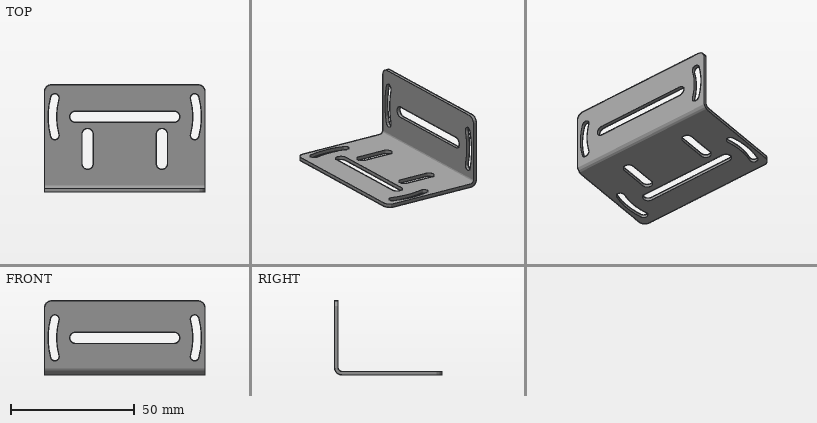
import cadquery as cq
import math

width = 65.0
depth = 43.5
height = 30.0
thickness = 1.5
inner_bend_radius = 1.5
outer_bend_radius = inner_bend_radius + thickness
corner_radius = 3.0

slot_width = 4.4
long_slot_spacing = 40.0
arc_slot_width = 3.4
arc_slot_radius = 29.25
arc_slot_half_angle = 15.0
wall_slots_z = height / 2
base_slots_setback = 13.0
base_slots_y = depth - base_slots_setback

cross_slot_x = 15.0
cross_slot_y = 17.5
cross_slot_spacing = 12.0


def bent_sheet():
    """L-shaped sheet, a rounded outer block with a rounded inner block removed."""
    outside = (
        cq.Workplane("YZ")
        .rect(depth, height, centered=False)
        .extrude(width / 2, both=True)
        .edges("|X and <Y and <Z")
        .fillet(outer_bend_radius)
    )
    inside = (
        cq.Workplane("YZ")
        .center(thickness, thickness)
        .rect(depth, height, centered=False)
        .extrude(width / 2, both=True)
        .edges("|X and <Y and <Z")
        .fillet(inner_bend_radius)
    )
    return outside.cut(inside)


def straight_slot(plane, x, y, spacing, angle=0):
    """Cutter for a round-ended slot centred at (x, y) on the plane."""
    return plane.center(x, y).slot2D(spacing + slot_width, slot_width, angle).extrude(thickness)


def polar_point(radius, angle):
    """Point at the given radius and angle in degrees."""
    return (radius * math.cos(math.radians(angle)), radius * math.sin(math.radians(angle)))


def arc_slot(plane, y, direction):
    """Cutter for a curved slot about (0, y), lying toward the given direction in degrees."""
    inner_radius = arc_slot_radius - arc_slot_width / 2
    outer_radius = arc_slot_radius + arc_slot_width / 2
    start = direction - arc_slot_half_angle
    end = direction + arc_slot_half_angle
    end_cap_angle = math.degrees(math.atan(arc_slot_width / 2 / arc_slot_radius))
    end_cap_radius = math.hypot(arc_slot_radius, arc_slot_width / 2)
    return (
        plane.center(0, y)
        .moveTo(*polar_point(outer_radius, start))
        .threePointArc(polar_point(outer_radius, direction), polar_point(outer_radius, end))
        .threePointArc(polar_point(end_cap_radius, end + end_cap_angle), polar_point(inner_radius, end))
        .threePointArc(polar_point(inner_radius, direction), polar_point(inner_radius, start))
        .threePointArc(polar_point(end_cap_radius, start - end_cap_angle), polar_point(outer_radius, start))
        .close()
        .extrude(thickness)
    )


result = bent_sheet()
result = result.edges("|Z and >Y").fillet(corner_radius)
result = result.edges("|Y and >Z").fillet(corner_radius)

base_plane = cq.Workplane("XY")
wall_plane = cq.Workplane("XZ", origin=(0, thickness, 0))
for plane, slots_center in ((base_plane, base_slots_y), (wall_plane, wall_slots_z)):
    result = result.cut(straight_slot(plane, 0, slots_center, long_slot_spacing))
    for direction in (0, 180):
        result = result.cut(arc_slot(plane, slots_center, direction))

for x in (-cross_slot_x, cross_slot_x):
    result = result.cut(straight_slot(base_plane, x, cross_slot_y, cross_slot_spacing, angle=90))